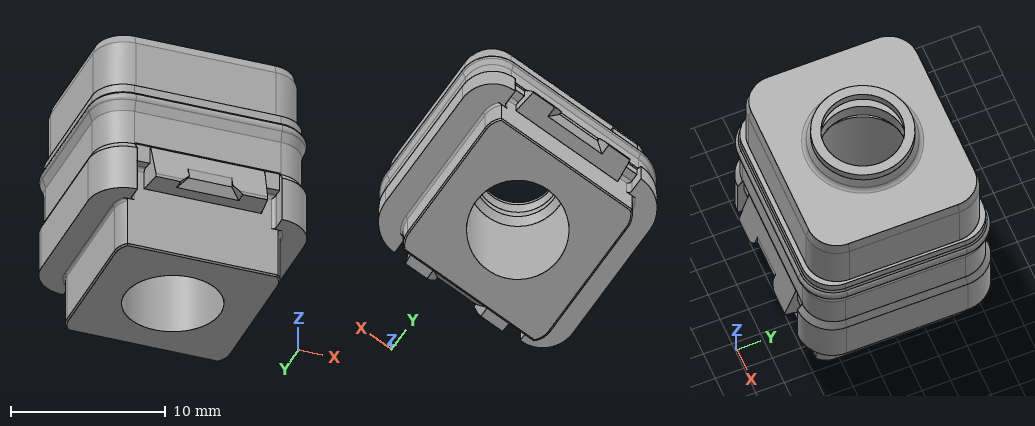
import cadquery as cq

SKIRT_BOTTOM = 3.59
SKIRT_BEVEL_BOTTOM = 6.8
COLLAR_BOTTOM = 7.3
BEAD_BOTTOM = 9.8
BEAD_TOP = 11.24
COLLAR_TOP = 11.83
CAP_BEVEL_BOTTOM = 15.35
CAP_TOP = 16.0
NECK_CONE_TOP = 16.73
NECK_TOP = 17.34

EMBED = 0.17

COLLAR_X = 14.4
COLLAR_Y = 12.65
COLLAR_RADIUS = 2.13
SKIRT_X = 14.98
SKIRT_Y = 13.35
SKIRT_RADIUS = 2.43
CAP_X = 14.01
CAP_Y = 12.0
CAP_RADIUS = 2.15
CAP_BEVEL_INSET = 0.19

BEAD_X = 15.0
BEAD_HEIGHT = (BEAD_X - COLLAR_X) / 2
BEAD_ARC_BOTTOM = 10.5
BEAD_ARC_TOP = 11.1
BEAD_ARC_PEAK = 10.75
BEAD_SHOULDER = 0.1
BEAD_LOWER = 0.23

PLUG_X = 11.38
PLUG_Y = 10.85
PLUG_FULL_Y = 11.75
PLUG_RADIUS = 1.6
PLUG_BOTTOM_CHAMFER = 0.1
PLUG_ROOT_FILLET = 0.17
PLUG_SHELF_OVERHANG = 0.2

WINDOW_HALF = 5.01
WINDOW_TOP = 7.39
RECESS_BOTTOM = 6.1
RECESS_Y = 6.23
WINDOW_FILLET = 0.25

LATCH_BOTTOM = 4.6
LATCH_EDGE_TOP = 4.82
LATCH_Y = 7.07
LATCH_ROOT_HALF = 4.05
LATCH_TIP_HALF = 3.87
NOTCH_HALF = 1.5
NOTCH_Y = 6.75
NOTCH_BEND = 5.24
NOTCH_UNDERCUT = 0.42

KEY_LEFT = -4.98
KEY_RIGHT = -3.02
KEY_TOP = 13.3

NECK_RADIUS = 3.38
NECK_CONE_RADIUS = 3.66
NECK_FLARE_TOP = 16.26
NECK_FOOT_RADIUS = 3.95
NECK_FLARE_SAG = 0.03
MOUTH_RADIUS = 2.7
SEAL_RADIUS = 3.62
SEAL_FLOOR = 15.54
THROAT_RADIUS = 2.9
THROAT_BOTTOM = 14.46
CHAMBER_FLOOR = 13.53
LOWER_BORE_RADIUS = 3.31


def rounded_section(size_x, size_y, radius):
    return cq.Sketch().rect(size_x, size_y).vertices().fillet(radius)


def rounded_block(size_x, size_y, radius, bottom, top):
    section = rounded_section(size_x, size_y, radius)
    return cq.Workplane("XY", origin=(0, 0, bottom)).placeSketch(section).extrude(top - bottom)


def rounded_bevel(lower, upper, bottom, top):
    """Sloped block between two rounded sections, each given as (size_x, size_y, radius)."""
    upper_section = rounded_section(*upper).moved(cq.Location(cq.Vector(0, 0, top - bottom)))
    plane = cq.Workplane("XY", origin=(0, 0, bottom))
    return plane.placeSketch(rounded_section(*lower), upper_section).loft(ruled=True)


def centred_box(half_x, y_start, y_end, bottom, top):
    return cq.Workplane("XY").box(
        2 * half_x, y_end - y_start, top - bottom, centered=(True, False, False)
    ).translate((0, y_start, bottom))


def make_shell():
    collar = (COLLAR_X, COLLAR_Y, COLLAR_RADIUS)
    skirt = (SKIRT_X, SKIRT_Y, SKIRT_RADIUS)
    cap = (CAP_X, CAP_Y, CAP_RADIUS)
    cap_face = (
        CAP_X - 2 * CAP_BEVEL_INSET,
        CAP_Y - 2 * CAP_BEVEL_INSET,
        CAP_RADIUS - CAP_BEVEL_INSET,
    )
    shell = rounded_block(*skirt, SKIRT_BOTTOM, SKIRT_BEVEL_BOTTOM)
    shell = shell.union(rounded_bevel(skirt, collar, SKIRT_BEVEL_BOTTOM, COLLAR_BOTTOM))
    shell = shell.union(rounded_block(*collar, COLLAR_BOTTOM, COLLAR_TOP))
    shell = shell.union(rounded_block(*cap, COLLAR_TOP, CAP_BEVEL_BOTTOM))
    return shell.union(rounded_bevel(cap, cap_face, CAP_BEVEL_BOTTOM, CAP_TOP))


def make_bead():
    """Rounded ridge swept around the collar."""
    path = (
        cq.Workplane("XY", origin=(0, 0, BEAD_BOTTOM))
        .rect(COLLAR_X, COLLAR_Y)
        .extrude(EMBED)
        .edges("|Z")
        .fillet(COLLAR_RADIUS)
        .faces("<Z")
        .wires()
        .val()
    )
    face_y = -COLLAR_Y / 2
    profile = (
        cq.Workplane("YZ")
        .moveTo(face_y + EMBED, BEAD_BOTTOM)
        .lineTo(face_y, BEAD_BOTTOM)
        .lineTo(face_y - BEAD_LOWER, BEAD_ARC_BOTTOM)
        .threePointArc(
            (face_y - BEAD_HEIGHT, BEAD_ARC_PEAK),
            (face_y - BEAD_SHOULDER, BEAD_ARC_TOP),
        )
        .lineTo(face_y, BEAD_TOP)
        .lineTo(face_y + EMBED, BEAD_TOP)
        .close()
    )
    return profile.sweep(cq.Workplane(path))


def make_window():
    """Opening in the -Y skirt face: a deep lower part and a shallow recess above it."""
    outside = -SKIRT_Y
    deep = centred_box(WINDOW_HALF, outside, -PLUG_Y / 2, -EMBED, RECESS_BOTTOM)
    deep = deep.edges(">Y and (|Z or (|X and >Z))").fillet(WINDOW_FILLET)
    recess = centred_box(WINDOW_HALF, outside, -RECESS_Y, RECESS_BOTTOM, WINDOW_TOP)
    return deep.union(recess)


def make_plug():
    """Plug with flattened Y faces, filleted into the underside of the skirt."""
    shelf_x = PLUG_X + 2 * PLUG_SHELF_OVERHANG
    shelf_y = PLUG_FULL_Y + 2 * PLUG_SHELF_OVERHANG
    shelf_radius = PLUG_RADIUS + PLUG_SHELF_OVERHANG
    shelf_top = SKIRT_BOTTOM + EMBED
    shelf = rounded_block(shelf_x, shelf_y, shelf_radius, SKIRT_BOTTOM, shelf_top)
    plug = rounded_block(PLUG_X, PLUG_FULL_Y, PLUG_RADIUS, 0, SKIRT_BOTTOM).union(shelf)
    underside = plug.faces("<Z[1]").val()
    root_edges = underside.innerWires()[0].Edges()
    plug = plug.newObject(root_edges).fillet(PLUG_ROOT_FILLET)
    plug = plug.intersect(centred_box(shelf_x, -PLUG_Y / 2, PLUG_Y / 2, 0, shelf_top))
    return plug.faces("<Z").edges().chamfer(PLUG_BOTTOM_CHAMFER)


def make_latch():
    """Wedge on the -Y face with drafted sides and an undercut notch in its lower edge."""
    root_y = -PLUG_Y / 2
    wedge = (
        cq.Workplane("YZ")
        .polyline([
            (root_y, COLLAR_BOTTOM),
            (-COLLAR_Y / 2, COLLAR_BOTTOM),
            (-LATCH_Y, LATCH_EDGE_TOP),
            (-LATCH_Y, LATCH_BOTTOM),
            (root_y, LATCH_BOTTOM),
        ])
        .close()
        .extrude(LATCH_ROOT_HALF, both=True)
    )
    drafted = (
        cq.Workplane("XY")
        .polyline([
            (-LATCH_ROOT_HALF, root_y),
            (-LATCH_TIP_HALF, -LATCH_Y),
            (LATCH_TIP_HALF, -LATCH_Y),
            (LATCH_ROOT_HALF, root_y),
        ])
        .close()
        .extrude(NECK_TOP)
    )
    flare = NOTCH_BEND - LATCH_BOTTOM
    notch_depth = (
        cq.Workplane("YZ")
        .polyline([
            (-SKIRT_Y, NECK_TOP),
            (-NOTCH_Y, NECK_TOP),
            (-NOTCH_Y, NOTCH_BEND),
            (-NOTCH_Y + NOTCH_UNDERCUT, LATCH_BOTTOM),
            (-SKIRT_Y, LATCH_BOTTOM),
        ])
        .close()
        .extrude(LATCH_ROOT_HALF, both=True)
    )
    notch_outline = (
        cq.Workplane("XZ")
        .polyline([
            (-NOTCH_HALF, COLLAR_BOTTOM),
            (-NOTCH_HALF, NOTCH_BEND),
            (-NOTCH_HALF - flare, LATCH_BOTTOM),
            (NOTCH_HALF + flare, LATCH_BOTTOM),
            (NOTCH_HALF, NOTCH_BEND),
            (NOTCH_HALF, COLLAR_BOTTOM),
        ])
        .close()
        .extrude(SKIRT_Y)
    )
    return wedge.intersect(drafted).cut(notch_depth.intersect(notch_outline))


def make_key():
    length = (COLLAR_Y - CAP_Y) / 2 + EMBED
    return cq.Workplane("XY").box(
        KEY_RIGHT - KEY_LEFT, length, KEY_TOP - COLLAR_TOP, centered=False
    ).translate((KEY_LEFT, COLLAR_Y / 2 - length, COLLAR_TOP))


def make_neck():
    """Solid neck with a conical foot that flares into the cap."""
    flare_middle = (
        (NECK_FOOT_RADIUS + NECK_CONE_RADIUS) / 2 - NECK_FLARE_SAG,
        (CAP_TOP + NECK_FLARE_TOP) / 2 - NECK_FLARE_SAG,
    )
    return (
        cq.Workplane("XZ")
        .moveTo(0, CAP_TOP - EMBED)
        .lineTo(NECK_FOOT_RADIUS, CAP_TOP - EMBED)
        .lineTo(NECK_FOOT_RADIUS, CAP_TOP)
        .threePointArc(flare_middle, (NECK_CONE_RADIUS, NECK_FLARE_TOP))
        .lineTo(NECK_RADIUS, NECK_CONE_TOP)
        .lineTo(NECK_RADIUS, NECK_TOP)
        .lineTo(0, NECK_TOP)
        .close()
        .revolve(360, (0, 0, 0), (0, 1, 0))
    )


def make_bore():
    return (
        cq.Workplane("XZ")
        .polyline([
            (0, 0),
            (LOWER_BORE_RADIUS, 0),
            (LOWER_BORE_RADIUS, CHAMBER_FLOOR),
            (SEAL_RADIUS, CHAMBER_FLOOR),
            (THROAT_RADIUS, THROAT_BOTTOM),
            (THROAT_RADIUS, SEAL_FLOOR),
            (SEAL_RADIUS, SEAL_FLOOR),
            (MOUTH_RADIUS, NECK_CONE_TOP),
            (MOUTH_RADIUS, NECK_TOP),
            (0, NECK_TOP),
        ])
        .close()
        .revolve(360, (0, 0, 0), (0, 1, 0))
    )


def on_both_sides(feature):
    return feature.union(feature.mirror("XZ"))


result = (
    make_shell()
    .union(make_bead())
    .cut(on_both_sides(make_window()))
    .union(make_plug())
    .union(on_both_sides(make_latch()))
    .union(make_key())
    .union(make_neck())
    .cut(make_bore())
)